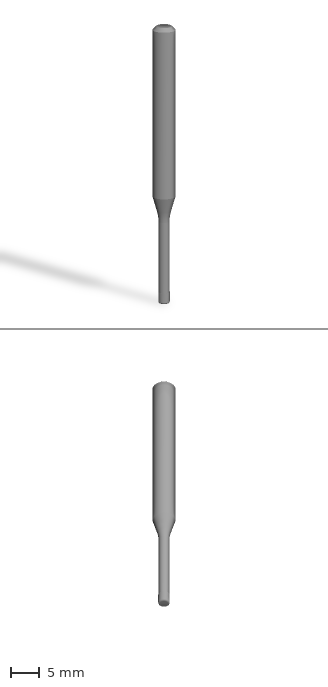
import cadquery as cq
import math

total_length = 50.0
shank_radius = 2.0
shank_chamfer = 0.65

head_length = 2.0
head_radius = 1.0
corner_radius = 0.3

neck_radius = 0.95
cone_top_z = 19.25
cone_half_angle = math.radians(16)
blend_radius = 6.35

blend_top_radius = neck_radius + blend_radius * (1 - math.cos(cone_half_angle))
blend_top_z = cone_top_z - (shank_radius - blend_top_radius) / math.tan(cone_half_angle)
blend_bottom_z = blend_top_z - blend_radius * math.sin(cone_half_angle)
blend_mid_angle = cone_half_angle / 2
blend_mid_radius = neck_radius + blend_radius * (1 - math.cos(blend_mid_angle))
blend_mid_z = blend_bottom_z + blend_radius * math.sin(blend_mid_angle)


def make_cutting_head():
    """Short cylinder with a rounded lower corner."""
    head = cq.Workplane("XY").circle(head_radius).extrude(head_length)
    return head.faces("<Z").edges().fillet(corner_radius)


def make_shank():
    """Neck, blend, cone and chamfered shank, revolved from one half profile."""
    profile = (
        cq.Workplane("XZ")
        .moveTo(0, head_length)
        .lineTo(neck_radius, head_length)
        .lineTo(neck_radius, blend_bottom_z)
        .threePointArc((blend_mid_radius, blend_mid_z), (blend_top_radius, blend_top_z))
        .lineTo(shank_radius, cone_top_z)
        .lineTo(shank_radius, total_length - shank_chamfer)
        .lineTo(shank_radius - shank_chamfer, total_length)
        .lineTo(0, total_length)
        .close()
    )
    return profile.revolve(360, (0, 0), (0, 1))


cutting_head = make_cutting_head()
shank = make_shank()

result = cq.Compound.makeCompound([cutting_head.val(), shank.val()])